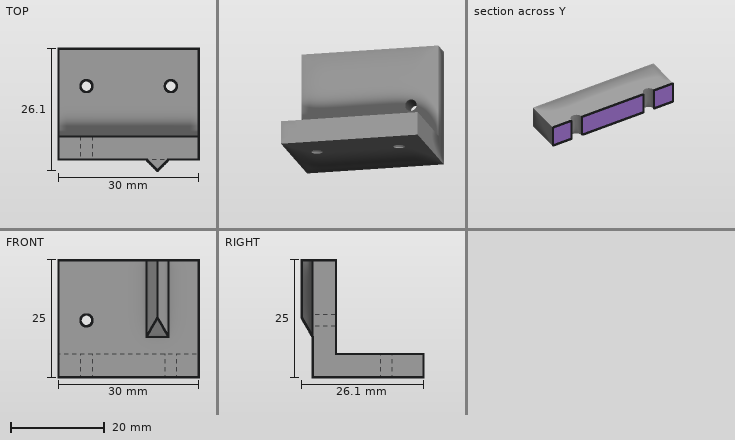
import cadquery as cq
import math

width = 30.0
height = 25.0
overall_depth = 26.06
thickness = 5.0

ridge_center_x = 21.15
ridge_projection = 2.36
ridge_bottom_z = 8.65
ridge_end_angle = 60.0

hole_diameter = 2.5
hole_inset_x = 6.0
base_hole_from_back = 8.0
wall_hole_z = 12.15

base_depth = overall_depth - ridge_projection
base_hole_y = base_depth - base_hole_from_back


def make_bracket():
    """L-shaped body: a base plate with an upright wall along its front edge."""
    base = cq.Workplane("XY").box(width, base_depth, thickness, centered=False)
    wall = cq.Workplane("XY").box(width, thickness, height, centered=False)
    return base.union(wall)


def make_ridge():
    """V-shaped ridge with 90 degree flanks, cut to a slope at its lower end."""
    half_width = ridge_projection
    slope_rise = ridge_projection * math.tan(math.radians(ridge_end_angle))
    prism = (
        cq.Workplane("XY", origin=(ridge_center_x, 0, ridge_bottom_z))
        .moveTo(-half_width, 0)
        .lineTo(0, -ridge_projection)
        .lineTo(half_width, 0)
        .close()
        .extrude(height - ridge_bottom_z)
    )
    end_cut = (
        cq.Workplane("YZ", origin=(ridge_center_x, 0, ridge_bottom_z))
        .moveTo(0, 0)
        .lineTo(-ridge_projection, slope_rise)
        .lineTo(-ridge_projection, 0)
        .close()
        .extrude(half_width, both=True)
    )
    return prism.cut(end_cut)


def make_base_holes():
    """Two vertical holes through the base plate, symmetric about mid-width."""
    return (
        cq.Workplane("XY")
        .pushPoints([(hole_inset_x, base_hole_y), (width - hole_inset_x, base_hole_y)])
        .circle(hole_diameter / 2)
        .extrude(thickness)
    )


def make_wall_hole():
    """One horizontal hole through the upright wall."""
    return (
        cq.Workplane("XZ")
        .center(hole_inset_x, wall_hole_z)
        .circle(hole_diameter / 2)
        .extrude(-thickness)
    )


result = make_bracket().union(make_ridge()).cut(make_base_holes()).cut(make_wall_hole())